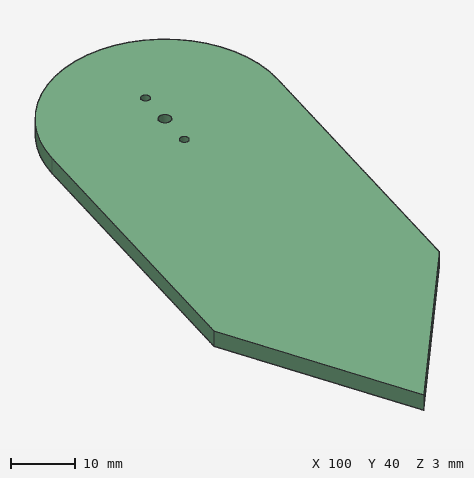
import cadquery as cq

width = 40.0
straight_length = 50.0
point_length = 30.0
thickness = 3.0
pivot_hole_diameter = 2.1
side_hole_diameter = 1.5
side_hole_spacing = 6.0

end_radius = width / 2
shoulder_x = straight_length
tip_x = straight_length + point_length


def make_plate():
    """Flat plate, round at one end and pointed at the other, round end centred on the origin."""
    return (
        cq.Workplane("XY")
        .moveTo(0, end_radius)
        .lineTo(shoulder_x, end_radius)
        .lineTo(tip_x, 0)
        .lineTo(shoulder_x, -end_radius)
        .lineTo(0, -end_radius)
        .threePointArc((-end_radius, 0), (0, end_radius))
        .close()
        .extrude(thickness)
    )


def drill_holes(plate):
    """Pivot hole at the centre of the round end, with a smaller hole on each side along X."""
    side_hole_centers = [(-side_hole_spacing, 0), (side_hole_spacing, 0)]
    pivot_hole = cq.Workplane("XY").circle(pivot_hole_diameter / 2).extrude(thickness)
    side_holes = (
        cq.Workplane("XY")
        .pushPoints(side_hole_centers)
        .circle(side_hole_diameter / 2)
        .extrude(thickness)
    )
    return plate.cut(pivot_hole).cut(side_holes)


result = drill_holes(make_plate())